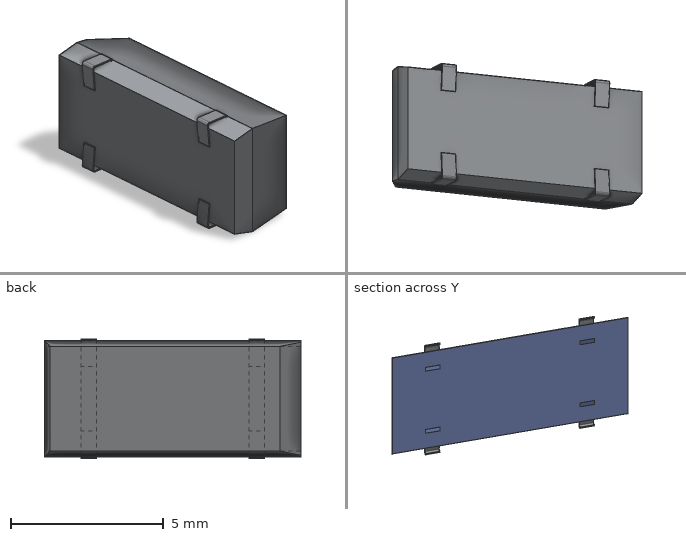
import cadquery as cq
import math

strip_thickness = 0.05
strip_width = 0.5
clip_pitch = 5.49
clip_height = 3.9
clip_reach = 0.89
heel_radius = 0.1
tip_spacing = 2.1
foot_angle = math.radians(5.0)

length = 8.4
parting_height = clip_height - 2 * strip_thickness
end_height = 3.43
cover_depth = 1.7
base_depth = 0.8
end_draft = 0.19
bevel_length = 0.69
bevel_depth = 1.26


def tapered_shell(depth):
    """Full-length shell from Y = 0 to Y = depth, with its +Z and -Z faces leaning in."""
    return (
        cq.Workplane("YZ")
        .moveTo(0, -parting_height / 2)
        .lineTo(depth, -end_height / 2)
        .lineTo(depth, end_height / 2)
        .lineTo(0, parting_height / 2)
        .close()
        .extrude(length / 2, both=True)
    )


def make_cover():
    """+Y shell, cut to its bevelled -X end and drafted +X end."""
    plan = (
        cq.Workplane("XY")
        .moveTo(-length / 2, 0)
        .lineTo(length / 2, 0)
        .lineTo(length / 2 - end_draft, cover_depth)
        .lineTo(-length / 2 + bevel_length, cover_depth)
        .lineTo(-length / 2, cover_depth - bevel_depth)
        .close()
        .extrude(parting_height / 2, both=True)
    )
    return tapered_shell(cover_depth).intersect(plan)


def make_clip(x):
    """C-shaped lead centred on x: a web on the parting plane, two legs and two feet."""
    half_height = clip_height / 2
    tip_z = tip_spacing / 2
    lean = math.tan(foot_angle)
    corner_offset = heel_radius * (1 + math.sin(foot_angle)) / math.cos(foot_angle)
    heel_y = -(clip_reach - heel_radius) - corner_offset
    tip_y = heel_y + (half_height - tip_z) * lean
    inner_z = half_height - strip_thickness
    foot_depth = strip_thickness / math.cos(foot_angle)
    inner_heel_y = heel_y + foot_depth + strip_thickness * lean
    inner_tip_y = tip_y + foot_depth

    upper_half = [
        (0, half_height),
        (heel_y, half_height),
        (tip_y, tip_z),
        (inner_tip_y, tip_z),
        (inner_heel_y, inner_z),
        (-strip_thickness, inner_z),
    ]
    lower_half = [(y, -z) for y, z in reversed(upper_half)]
    clip = (
        cq.Workplane("YZ", origin=(x, 0, 0))
        .polyline(upper_half + lower_half)
        .close()
        .extrude(strip_width / 2, both=True)
    )

    def round_bend(body, y, z, radius):
        """Round the corner edges at (y, z) and (y, -z)."""
        for side in (1, -1):
            corner = cq.selectors.NearestToPointSelector((x, y, side * z))
            body = body.edges(corner).fillet(radius)
        return body

    clip = round_bend(clip, 0, half_height, strip_thickness)
    clip = round_bend(clip, heel_y, half_height, heel_radius)
    return round_bend(clip, inner_heel_y, inner_z, heel_radius - strip_thickness)


def make_base(clips):
    """-Y shell, with a recess wherever a clip lies in it."""
    base = tapered_shell(-base_depth)
    for clip in clips:
        base = base.cut(clip)
    return base.solids()


clips = [make_clip(side * clip_pitch / 2) for side in (-1, 1)]
cover = make_cover()
base = make_base(clips)

result = cq.Compound.makeCompound([cover.val(), base.val(), *[clip.val() for clip in clips]])